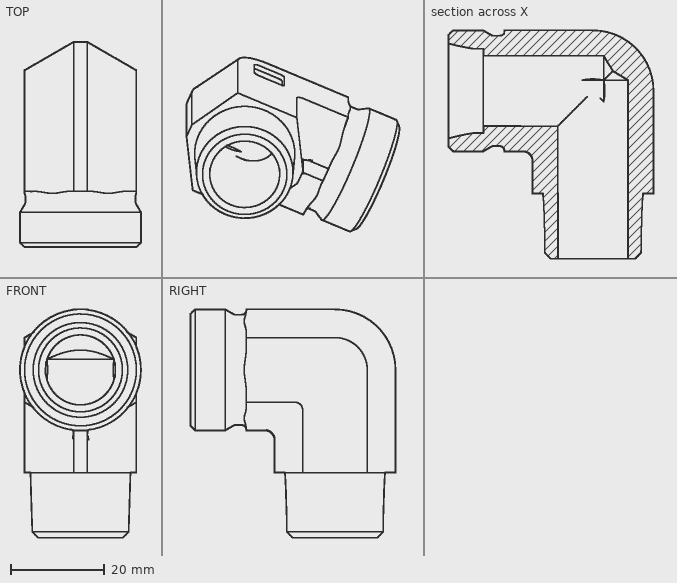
import cadquery as cq
import math


ACROSS_FLATS = 24.0
ACROSS_CUT_CORNERS = 26.0
STUD_ARM_LENGTH = 22.0
TUBE_ARM_LENGTH = 19.0
INNER_BEND_FILLET = 2.0
SELECTION_MARGIN = 0.1

STUD_END = 36.0
STUD_ROOT_DIAMETER = 21.5
STUD_TAPER = 1 / 16
STUD_CHAMFER = 1.3

TUBE_END = 31.0
NECK_DIAMETER = 23.7
COLLAR_DIAMETER = 26.0
COLLAR_START = 23.55
COLLAR_CHAMFER = 1.0
COLLAR_BACK_ANGLE = 30.0
NECK_BODY_FILLET = 1.0
NECK_COLLAR_FILLET = 0.8

SOCKET_DIAMETER = 18.0
SOCKET_DEPTH = 7.5
SOCKET_MOUTH_DIAMETER = 20.3
SOCKET_CONE_HALF_ANGLE = 12.0

BORE_DIAMETER = 15.0
BORE_OVERRUN = 2.3
DRILL_POINT_ANGLE = 118.0

RECESS_SIZE = 7.0
RECESS_CORNER_RADIUS = 1.0
RECESS_DEPTH = 1.0
RECESS_CENTER_Y = -0.5
RECESS_CENTER_Z = -0.5

half_width = ACROSS_FLATS / 2
half_height = ACROSS_CUT_CORNERS / 2
side_half_height = half_width * math.tan(math.radians(30))
hexagon_corner = half_width / math.cos(math.radians(30))
cut_half_width = (hexagon_corner - half_height) * math.tan(math.radians(60))

upper_section = [
    (half_width, side_half_height),
    (cut_half_width, half_height),
    (-cut_half_width, half_height),
    (-half_width, side_half_height),
]
body_section = upper_section + [(-x, -y) for x, y in upper_section]

drill_point_length = BORE_DIAMETER / 2 / math.tan(math.radians(DRILL_POINT_ANGLE / 2))

neck_radius = NECK_DIAMETER / 2
neck_start = TUBE_ARM_LENGTH + NECK_BODY_FILLET


def make_body():
    """Two mitred arms with a rounded outer bend and a filleted inner bend."""
    stud_arm = cq.Workplane("XY").polyline(body_section).close().extrude(-STUD_ARM_LENGTH)
    tube_arm = cq.Workplane("XZ").polyline(body_section).close().extrude(TUBE_ARM_LENGTH)
    bend_section = [(half_width, 0)] + upper_section + [(-half_width, 0)]
    bend = (
        cq.Workplane("XZ").polyline(bend_section).close()
        .revolve(90, (0, 0, 0), (-1, 0, 0))
    )
    body = stud_arm.union(tube_arm).union(bend).clean()
    inner_bend = cq.selectors.BoxSelector(
        (-half_width, -half_height - SELECTION_MARGIN, -half_height - SELECTION_MARGIN),
        (half_width, -side_half_height - SELECTION_MARGIN, -side_half_height - SELECTION_MARGIN),
    )
    return body.edges(inner_bend).fillet(INNER_BEND_FILLET)


def make_neck_flare():
    """Concave flare from the neck to the body, trimmed to the body section."""
    flare_radius = neck_radius + NECK_BODY_FILLET
    diagonal = NECK_BODY_FILLET * math.sin(math.radians(45))
    ring = (
        cq.Workplane("XY")
        .moveTo(0, -TUBE_ARM_LENGTH)
        .lineTo(flare_radius, -TUBE_ARM_LENGTH)
        .threePointArc((flare_radius - diagonal, -neck_start + diagonal), (neck_radius, -neck_start))
        .lineTo(0, -neck_start)
        .close()
        .revolve(360, (0, 0, 0), (0, 1, 0))
    )
    return ring.intersect(cq.Workplane("XZ").polyline(body_section).close().extrude(neck_start))


def make_stud():
    """Tapered stud with a chamfered end."""
    root_radius = STUD_ROOT_DIAMETER / 2
    taper_end = STUD_END - STUD_CHAMFER
    tip_radius = root_radius - (taper_end - STUD_ARM_LENGTH) * STUD_TAPER / 2
    return (
        cq.Workplane("XZ")
        .moveTo(0, 0)
        .lineTo(root_radius, 0)
        .lineTo(root_radius, -STUD_ARM_LENGTH)
        .lineTo(tip_radius, -taper_end)
        .lineTo(tip_radius - STUD_CHAMFER, -STUD_END)
        .lineTo(0, -STUD_END)
        .close()
        .revolve(360, (0, 0, 0), (0, 1, 0))
    )


def make_tube_connection():
    """Necked round end with a conical-backed collar."""
    collar_radius = COLLAR_DIAMETER / 2
    back_angle = math.radians(COLLAR_BACK_ANGLE)
    neck_end = COLLAR_START - (collar_radius - neck_radius) / math.tan(back_angle)

    tangent_length = NECK_COLLAR_FILLET * math.tan(back_angle / 2)
    fillet_center_radius = neck_radius + NECK_COLLAR_FILLET

    def fillet_point(angle):
        along = neck_end - tangent_length + NECK_COLLAR_FILLET * math.sin(angle)
        return (fillet_center_radius - NECK_COLLAR_FILLET * math.cos(angle), -along)

    return (
        cq.Workplane("XY")
        .moveTo(0, -TUBE_ARM_LENGTH)
        .lineTo(neck_radius, -TUBE_ARM_LENGTH)
        .lineTo(*fillet_point(0))
        .threePointArc(fillet_point(back_angle / 2), fillet_point(back_angle))
        .lineTo(collar_radius, -COLLAR_START)
        .lineTo(collar_radius, -TUBE_END + COLLAR_CHAMFER)
        .lineTo(collar_radius - COLLAR_CHAMFER, -TUBE_END)
        .lineTo(0, -TUBE_END)
        .close()
        .revolve(360, (0, 0, 0), (0, 1, 0))
    )


def make_stud_bore():
    """Blind bore drilled up the stud axis."""
    bore_radius = BORE_DIAMETER / 2
    return (
        cq.Workplane("XZ")
        .moveTo(0, -STUD_END)
        .lineTo(bore_radius, -STUD_END)
        .lineTo(bore_radius, BORE_OVERRUN)
        .lineTo(0, BORE_OVERRUN + drill_point_length)
        .close()
        .revolve(360, (0, 0, 0), (0, 1, 0))
    )


def make_tube_bore():
    """Blind bore along the tube axis, opening into a socket with a conical mouth."""
    bore_radius = BORE_DIAMETER / 2
    socket_radius = SOCKET_DIAMETER / 2
    mouth_radius = SOCKET_MOUTH_DIAMETER / 2
    cone_depth = (mouth_radius - socket_radius) / math.tan(math.radians(SOCKET_CONE_HALF_ANGLE))
    return (
        cq.Workplane("XY")
        .moveTo(0, -TUBE_END)
        .lineTo(mouth_radius, -TUBE_END)
        .lineTo(socket_radius, -TUBE_END + cone_depth)
        .lineTo(socket_radius, -TUBE_END + SOCKET_DEPTH)
        .lineTo(bore_radius, -TUBE_END + SOCKET_DEPTH)
        .lineTo(bore_radius, BORE_OVERRUN)
        .lineTo(0, BORE_OVERRUN + drill_point_length)
        .close()
        .revolve(360, (0, 0, 0), (0, 1, 0))
    )


def make_side_recess():
    """Rounded square pocket sunk into the -X side."""
    return (
        cq.Workplane("YZ", origin=(-half_width, RECESS_CENTER_Y, RECESS_CENTER_Z))
        .rect(RECESS_SIZE, RECESS_SIZE)
        .extrude(RECESS_DEPTH)
        .edges("|X")
        .fillet(RECESS_CORNER_RADIUS)
    )


result = make_body().union(make_neck_flare()).union(make_stud()).union(make_tube_connection())
for cutter in (make_stud_bore(), make_tube_bore(), make_side_recess()):
    result = result.cut(cutter)